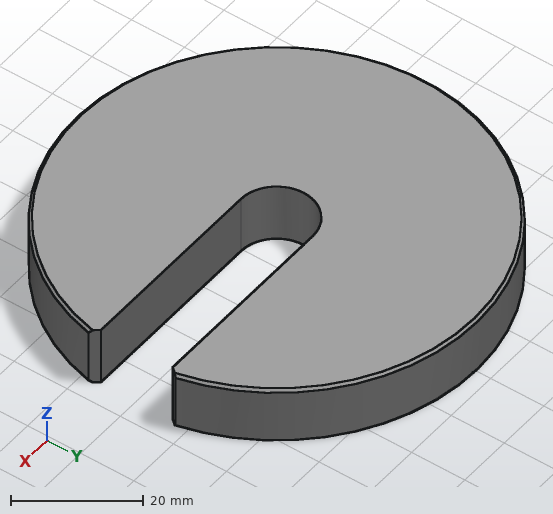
import cadquery as cq
import math

disc_diameter = 75.0
thickness = 11.0
rim_chamfer = 0.5
slot_width = 13.5
mouth_chamfer = 1.5

disc_radius = disc_diameter / 2
slot_radius = slot_width / 2
mouth_x = math.sqrt(disc_radius**2 - slot_radius**2)
mouth_angle = math.asin(slot_radius / disc_radius) + mouth_chamfer / disc_radius
cut_length = 2 * disc_radius


def make_disc():
    """Round plate with both rim edges chamfered."""
    return cq.Workplane("XY").circle(disc_radius).extrude(thickness).edges().chamfer(rim_chamfer)


def make_slot():
    """Round-ended slot from the disc centre, open toward +X."""
    return (
        cq.Workplane("XY")
        .moveTo(0, slot_radius)
        .threePointArc((-slot_radius, 0), (0, -slot_radius))
        .lineTo(cut_length, -slot_radius)
        .lineTo(cut_length, slot_radius)
        .close()
        .extrude(thickness)
    )


def make_mouth_flare():
    """Wedge that bevels both corners where the slot leaves the disc."""
    start_x = mouth_x - mouth_chamfer
    tip_x = disc_radius * math.cos(mouth_angle)
    tip_y = disc_radius * math.sin(mouth_angle)
    bevel_slope = (tip_y - slot_radius) / (tip_x - start_x)
    end_half_width = slot_radius + bevel_slope * (cut_length - start_x)
    return (
        cq.Workplane("XY")
        .moveTo(start_x, slot_radius)
        .lineTo(cut_length, end_half_width)
        .lineTo(cut_length, -end_half_width)
        .lineTo(start_x, -slot_radius)
        .close()
        .extrude(thickness)
    )


result = make_disc().cut(make_slot()).cut(make_mouth_flare())